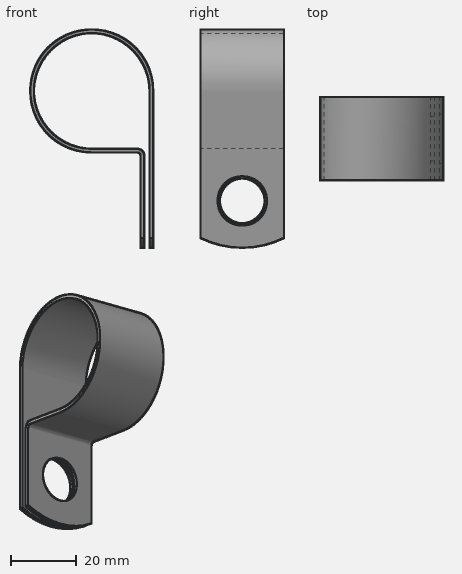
import cadquery as cq
import math

height = 66.3
band_width = 25.4
thickness = 1.2
loop_radius = 18.7
tab_gap = 1.5
bend_outer_radius = 2.2
inner_hole_diameter = 13.5
outer_hole_diameter = 15.0
hole_height = 14.25
tip_rise = 3.0

inner_radius = loop_radius - thickness
bend_inner_radius = bend_outer_radius - thickness
tab_bottom = loop_radius - height
inner_tab_right = inner_radius - tab_gap
inner_tab_left = inner_tab_right - thickness
bend_x = inner_tab_right - bend_outer_radius
bend_z = -inner_radius - bend_outer_radius
bend_diagonal = math.sqrt(0.5)


def arc_middle(radius):
    """Midpoint of the quarter bend between the shelf and the inner tab."""
    return bend_x + radius * bend_diagonal, bend_z + radius * bend_diagonal


def make_strip():
    """One strip: outer tab, three-quarter loop, flat shelf and inner tab."""
    return (
        cq.Workplane("XZ")
        .moveTo(loop_radius, tab_bottom)
        .lineTo(loop_radius, 0)
        .threePointArc((-loop_radius * bend_diagonal, loop_radius * bend_diagonal), (0, -loop_radius))
        .lineTo(bend_x, -loop_radius)
        .threePointArc(arc_middle(bend_inner_radius), (inner_tab_left, bend_z))
        .lineTo(inner_tab_left, tab_bottom)
        .lineTo(inner_tab_right, tab_bottom)
        .lineTo(inner_tab_right, bend_z)
        .threePointArc(arc_middle(bend_outer_radius), (bend_x, -inner_radius))
        .lineTo(0, -inner_radius)
        .threePointArc((-inner_radius * bend_diagonal, inner_radius * bend_diagonal), (inner_radius, 0))
        .lineTo(inner_radius, tab_bottom)
        .close()
        .extrude(band_width / 2, both=True)
    )


def make_tip_envelope():
    """Block spanning the part, with the rounded lower end of the tabs."""
    half_width = band_width / 2
    corner_z = tab_bottom + tip_rise
    return (
        cq.Workplane("YZ")
        .moveTo(-half_width, loop_radius)
        .lineTo(-half_width, corner_z)
        .threePointArc((0, tab_bottom), (half_width, corner_z))
        .lineTo(half_width, loop_radius)
        .close()
        .extrude(loop_radius, both=True)
    )


def make_hole(diameter, start_x, end_x):
    """Bolt hole along X between two positions."""
    return (
        cq.Workplane("YZ", origin=(start_x, 0, tab_bottom + hole_height))
        .circle(diameter / 2)
        .extrude(end_x - start_x)
    )


inner_tab_hole = make_hole(inner_hole_diameter, inner_tab_left, inner_tab_right)
outer_tab_hole = make_hole(outer_hole_diameter, inner_radius, loop_radius)

result = make_strip().intersect(make_tip_envelope()).cut(inner_tab_hole).cut(outer_tab_hole)